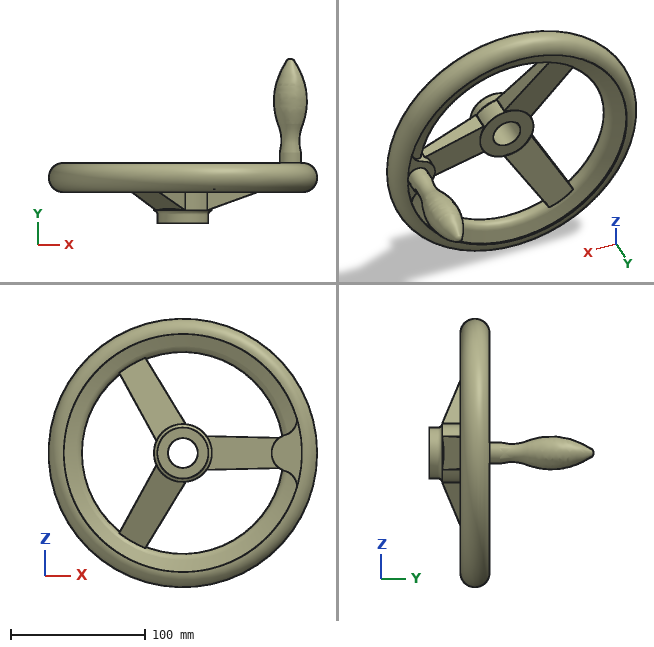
import cadquery as cq
import math


rim_radius = 100.0
rim_half_width = 11.0
rim_crown_radius = rim_radius - rim_half_width
rim_hole_radius = 75.0
rim_nose_radius = 6.5
rim_lip = 0.4
rim_step = 1.4
recess_half_width = rim_half_width - rim_step

hub_radius = 21.5
collar_radius = 19.0
bore_radius = 11.0
hub_front = -34.0
collar_back = -28.0
hub_shoulder = -24.4
hub_back = -9.0

spoke_count = 3
spoke_root_radius = 18.2
spoke_tip_radius = 78.0
spoke_root_half_width = 12.5
spoke_tip_half_width = 11.2
spoke_root_front = hub_shoulder
spoke_tip_front = -2.8
spoke_root_thickness = 14.4
spoke_tip_thickness = 8.0

grip_x = 80.0
pad_radius = 14.0
pad_blend_radius = 12.0
grip_base_radius = 8.0
grip_base_end = 18.5
neck_radius = 6.8
neck_y = 27.2
neck_end_radius = 9.4
neck_end = 39.8
grip_radius = 12.4
grip_widest_y = 57.8
grip_end_radius = 3.4
grip_end = 86.0
grip_tip = 88.4


def revolve_about_y(profile):
    """Revolve a closed XY profile about the Y axis."""
    return profile.close().revolve(360, (0, 0, 0), (0, 1, 0))


def make_rim():
    """Half-round outside, a small step on each face, then cones to a rounded inner nose."""
    nose_center = rim_hole_radius + rim_nose_radius
    taper_start = rim_crown_radius - rim_lip
    run = taper_start - nose_center
    reach = math.hypot(run, recess_half_width)
    normal_angle = math.atan2(recess_half_width, run) + math.acos(rim_nose_radius / reach)
    nose_x = nose_center + rim_nose_radius * math.cos(normal_angle)
    nose_y = rim_nose_radius * math.sin(normal_angle)
    return revolve_about_y(
        cq.Workplane("XY")
        .moveTo(taper_start, -recess_half_width)
        .lineTo(taper_start, -rim_half_width)
        .lineTo(rim_crown_radius, -rim_half_width)
        .threePointArc((rim_radius, 0), (rim_crown_radius, rim_half_width))
        .lineTo(taper_start, rim_half_width)
        .lineTo(taper_start, recess_half_width)
        .lineTo(nose_x, nose_y)
        .threePointArc((rim_hole_radius, 0), (nose_x, -nose_y))
    )


def make_hub():
    """Hub barrel with a concave flare down to the front collar."""
    flare_height = hub_shoulder - collar_back
    flare_width = hub_radius - collar_radius
    flare_bend = 1 - math.sqrt(0.5)
    return revolve_about_y(
        cq.Workplane("XY")
        .moveTo(0, hub_front)
        .lineTo(collar_radius, hub_front)
        .lineTo(collar_radius, collar_back)
        .threePointArc(
            (collar_radius + flare_bend * flare_width, collar_back + math.sqrt(0.5) * flare_height),
            (hub_radius, hub_shoulder),
        )
        .lineTo(hub_radius, hub_back)
        .lineTo(0, hub_back)
    )


def make_spoke():
    """Spoke along +X, sloping back from the hub and narrowing toward the rim."""

    def section(x, half_width, front, thickness):
        plane = cq.Workplane("YZ", origin=(x, front + thickness / 2, 0))
        return plane.rect(thickness, 2 * half_width).val()

    root = section(spoke_root_radius, spoke_root_half_width, spoke_root_front, spoke_root_thickness)
    tip = section(spoke_tip_radius, spoke_tip_half_width, spoke_tip_front, spoke_tip_thickness)
    return cq.Workplane(cq.Solid.makeLoft([root, tip], True))


def make_pad():
    """Round pad at the grip, blended with concave arcs into the rim's crown circle."""
    blend_distance = rim_crown_radius - pad_blend_radius
    touch_distance = pad_radius + pad_blend_radius
    blend_x = (blend_distance**2 - touch_distance**2 + grip_x**2) / (2 * grip_x)
    blend_z = math.sqrt(blend_distance**2 - blend_x**2)
    touch_x = grip_x + (blend_x - grip_x) * pad_radius / touch_distance
    touch_z = blend_z * pad_radius / touch_distance
    crown_x = blend_x * rim_crown_radius / blend_distance
    crown_z = blend_z * rim_crown_radius / blend_distance
    toward_x = (touch_x - blend_x) + (crown_x - blend_x)
    toward_z = (touch_z - blend_z) + (crown_z - blend_z)
    toward = math.hypot(toward_x, toward_z)
    mid_x = blend_x + pad_blend_radius * toward_x / toward
    mid_z = blend_z + pad_blend_radius * toward_z / toward
    return (
        cq.Workplane("XZ", origin=(0, recess_half_width, 0))
        .moveTo(crown_x, crown_z)
        .threePointArc((mid_x, mid_z), (touch_x, touch_z))
        .threePointArc((grip_x - pad_radius, 0), (touch_x, -touch_z))
        .threePointArc((mid_x, -mid_z), (crown_x, -crown_z))
        .threePointArc((rim_crown_radius, 0), (crown_x, crown_z))
        .close()
        .extrude(2 * recess_half_width)
    )


def make_grip():
    """Turned grip: straight base, waisted neck, bulbous handle and rounded tip."""
    tip_height = grip_tip - grip_end
    tip_sphere = (grip_end_radius**2 + tip_height**2) / (2 * tip_height)
    half_angle = math.asin(grip_end_radius / tip_sphere) / 2
    tip_mid = (tip_sphere * math.sin(half_angle), grip_tip - tip_sphere * (1 - math.cos(half_angle)))
    profile = (
        cq.Workplane("XY")
        .lineTo(grip_base_radius, 0)
        .lineTo(grip_base_radius, grip_base_end)
        .threePointArc((neck_radius, neck_y), (neck_end_radius, neck_end))
        .spline([(grip_radius, grip_widest_y), (grip_end_radius, grip_end)], includeCurrent=True)
        .threePointArc(tip_mid, (0, grip_tip))
    )
    return revolve_about_y(profile).translate((grip_x, 0, 0))


result = make_rim().union(make_pad()).union(make_hub())
for index in range(spoke_count):
    result = result.union(make_spoke().rotate((0, 0, 0), (0, 1, 0), index * 360 / spoke_count))
result = result.union(make_grip())

bore = cq.Workplane("XZ", origin=(0, hub_back, 0)).circle(bore_radius).extrude(hub_back - hub_front)
result = result.cut(bore)